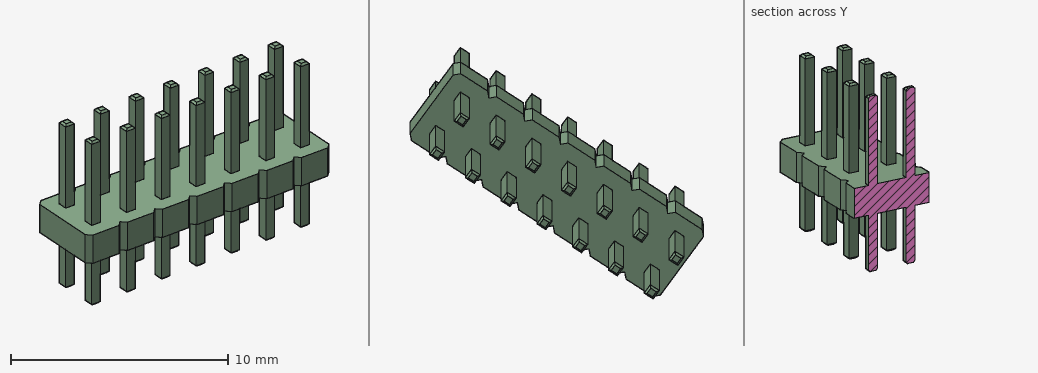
import cadquery as cq

length = 14.0
columns = 7
rows = 2
pitch = length / columns
width = rows * pitch

body_height = 1.5
corner_cut = 0.25

pin_side = 0.5
pin_tip_chamfer = 0.1
pin_above = 4.4
pin_below = 2.8
pin_length = pin_below + body_height + pin_above


def side_profile():
    """Points up the +X long side: each cell has both its outer corners cut."""
    points = []
    for column in range(columns):
        cell_start = -length / 2 + column * pitch
        cell_end = cell_start + pitch
        points.append((width / 2 - corner_cut, cell_start))
        points.append((width / 2, cell_start + corner_cut))
        points.append((width / 2, cell_end - corner_cut))
    points.append((width / 2 - corner_cut, length / 2))
    return points


def make_body():
    """Insulator block with V notches between the columns on both long sides."""
    right_side = side_profile()
    left_side = [(-x, y) for x, y in reversed(right_side)]
    return cq.Workplane("XY").polyline(right_side + left_side).close().extrude(body_height)


def make_pins():
    """Square pins on the pitch grid, chamfered at both tips."""
    pin = (
        cq.Workplane("XY")
        .box(pin_side, pin_side, pin_length, centered=(True, True, False))
        .faces("<Z or >Z")
        .chamfer(pin_tip_chamfer)
        .translate((0, 0, -pin_below))
    )
    return (
        cq.Workplane("XY")
        .rarray(pitch, pitch, rows, columns)
        .eachpoint(lambda location: pin.val().moved(location))
    )


result = make_body().union(make_pins())